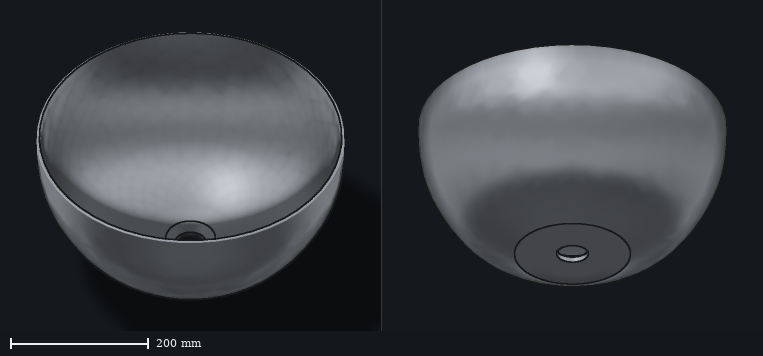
import cadquery as cq

rim_radius = 225.0
height = 220.0
wall = 5.5
rim_band = 5.0
rim_round = 2.0
inner_rim_radius = rim_radius - wall
band_bottom = height - rim_band

foot_radius = 84.0
hip_radius = 150.3
hip_height = 37.0
flank_radius = 204.3
flank_height = 110.0
outer_curve = [(hip_radius, hip_height), (flank_radius, flank_height), (rim_radius, band_bottom)]
foot_slope = (1.9, 1)
upward = (0, 1)

drain_radius = 46.0 / 2
seat_radius = 36.0
seat_depth = 10.0

floor_height = 15.7
inner_depth = band_bottom - floor_height


def make_bowl():
    """Revolve the solid outer form and take the elliptical hollow out of it."""
    outer = (
        cq.Workplane("XZ")
        .lineTo(foot_radius, 0)
        .spline(outer_curve, tangents=[foot_slope, upward], includeCurrent=True)
        .lineTo(rim_radius, height)
        .lineTo(0, height)
        .close()
        .revolve(360, (0, 0, 0), (0, 1, 0))
        .edges(">Z")
        .fillet(rim_round)
    )
    hollow = (
        cq.Workplane("XZ")
        .moveTo(0, floor_height)
        .ellipseArc(inner_rim_radius, inner_depth, 270, 360, startAtCurrent=True)
        .lineTo(inner_rim_radius, height)
        .lineTo(0, height)
        .close()
        .revolve(360, (0, 0, 0), (0, 1, 0))
    )
    return outer.cut(hollow)


def make_drain():
    """Through hole whose upper end flares to the seat edge on the curved floor."""
    seat_height = band_bottom - inner_depth * (1 - (seat_radius / inner_rim_radius) ** 2) ** 0.5
    return (
        cq.Workplane("XZ")
        .lineTo(drain_radius, 0)
        .lineTo(drain_radius, seat_height - seat_depth)
        .lineTo(seat_radius, seat_height)
        .lineTo(0, seat_height)
        .close()
        .revolve(360, (0, 0, 0), (0, 1, 0))
    )


result = make_bowl().cut(make_drain())